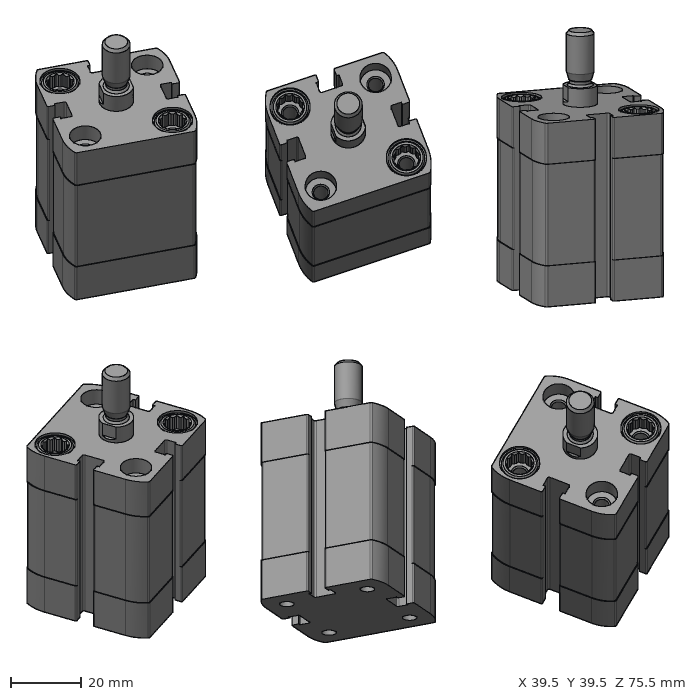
import cadquery as cq
import math


total_height = 75.5
housing_width = 39.5
housing_height = 54.0
cap_height = 12.1
tube_inset = 0.2

hole_offset = 13.0
corner_radius = 25.0 / 2
corner_blend = 0.75

slot_mouth_width = 5.4
slot_mouth_radius = 0.4
slot_lip = 2.35
slot_width = 6.95
slot_depth = 5.75
slot_floor_radius = 0.5

through_diameter = 4.15
through_chamfer_diameter = 5.0
counterbore_diameter = 9.0
counterbore_depth = 5.0

recess_diameter = 11.5
recess_depth = 0.75
head_drop = 0.2
head_diameter = 10.5
head_top_diameter = 9.5
socket_mouth_diameter = 8.15
socket_point_diameter = 7.85
socket_land_diameter = 7.1
socket_land_width = 0.7
socket_points = 12

collar_diameter = 10.0
collar_top = 59.4
flat_width = 9.0
flat_bottom = 55.35
thread_diameter = 8.0
thread_bottom = 63.4
tip_diameter = 6.5
tip_chamfer_height = 0.9
neck_diameter = 6.2
neck_top = 60.9
runout_end_diameter = 6.65
neck_foot_diameter = 7.5


def disc(diameter, bottom, top):
    return cq.Workplane("XY").workplane(offset=bottom).circle(diameter / 2).extrude(top - bottom)


def cone(bottom_diameter, top_diameter, bottom, top):
    height = top - bottom
    solid = cq.Solid.makeCone(bottom_diameter / 2, top_diameter / 2, height, cq.Vector(0, 0, bottom))
    return cq.Workplane(obj=solid)


def section_blank(half, bottom, top):
    """Solid stretch of housing whose corners are arcs tangent to its front and back faces."""
    radius = corner_radius - (housing_width / 2 - half)
    center_y = half - radius
    side_y = center_y + math.sqrt(radius**2 - (half - hole_offset) ** 2)
    middle_angle = (math.pi / 2 + math.asin((side_y - center_y) / radius)) / 2
    middle_x = hole_offset + radius * math.cos(middle_angle)
    middle_y = center_y + radius * math.sin(middle_angle)
    return (
        cq.Workplane("XY").workplane(offset=bottom)
        .moveTo(-hole_offset, half)
        .lineTo(hole_offset, half)
        .threePointArc((middle_x, middle_y), (half, side_y))
        .lineTo(half, -side_y)
        .threePointArc((middle_x, -middle_y), (hole_offset, -half))
        .lineTo(-hole_offset, -half)
        .threePointArc((-middle_x, -middle_y), (-half, -side_y))
        .lineTo(-half, side_y)
        .threePointArc((-middle_x, middle_y), (-hole_offset, half))
        .close()
        .extrude(top - bottom)
        .edges("|Z").edges("<X or >X").fillet(corner_blend)
    )


def slot_cutter(half, bottom, top):
    """T-slot opening toward +Y, with a rounded mouth at the face y = half."""
    height = top - bottom
    lip_y = housing_width / 2 - slot_lip
    floor_y = housing_width / 2 - slot_depth
    mouth_x = slot_mouth_width / 2
    flare_x = mouth_x + slot_mouth_radius
    round_y = half - slot_mouth_radius
    bulge = slot_mouth_radius * math.sqrt(0.5)
    plane = cq.Workplane("XY").workplane(offset=bottom)
    mouth = (
        plane.moveTo(-mouth_x, floor_y)
        .lineTo(mouth_x, floor_y)
        .lineTo(mouth_x, round_y)
        .threePointArc((flare_x - bulge, round_y + bulge), (flare_x, half))
        .lineTo(-flare_x, half)
        .threePointArc((bulge - flare_x, round_y + bulge), (-mouth_x, round_y))
        .close()
        .extrude(height)
    )
    cavity = (
        plane.center(0, (lip_y + floor_y) / 2)
        .rect(slot_width, lip_y - floor_y)
        .extrude(height)
        .edges("|Z and <Y").fillet(slot_floor_radius)
    )
    return cavity.union(mouth)


def housing_section(half, bottom, top):
    section = section_blank(half, bottom, top)
    for angle in (0, 90, 180):
        section = section.cut(slot_cutter(half, bottom, top).rotate((0, 0, 0), (0, 0, 1), angle))
    return section


def through_hole():
    """Through hole with its chamfer at the counterbore floor."""
    floor_z = housing_height - counterbore_depth
    chamfer = (through_chamfer_diameter - through_diameter) / 2
    hole = disc(through_diameter, 0, floor_z)
    return hole.union(cone(through_diameter, through_chamfer_diameter, floor_z - chamfer, floor_z))


def plain_hole():
    bore = disc(counterbore_diameter, housing_height - counterbore_depth, housing_height)
    return through_hole().union(bore)


def polar(diameter, angle):
    return diameter / 2 * math.cos(angle), diameter / 2 * math.sin(angle)


def twelve_point_socket(bottom, top):
    """Prism with V grooves pointing along the axes and every 30 degrees between them."""
    pitch = 2 * math.pi / socket_points
    half_land = math.asin(socket_land_width / socket_land_diameter)
    outline = []
    for index in range(socket_points):
        groove_angle = index * pitch
        land_angle = groove_angle + pitch / 2
        outline.append(polar(socket_point_diameter, groove_angle))
        outline.append(polar(socket_land_diameter, land_angle - half_land))
        outline.append(polar(socket_land_diameter, land_angle + half_land))
    return cq.Workplane("XY").workplane(offset=bottom).polyline(outline).close().extrude(top - bottom)


def screw_hole():
    """Material removed around and inside a sunken twelve-point socket head."""
    head_top = housing_height - head_drop
    recess_floor = housing_height - recess_depth
    mouth_depth = (socket_mouth_diameter - through_chamfer_diameter) / 2
    head = cone(head_diameter, head_top_diameter, recess_floor, head_top)
    recess = disc(recess_diameter, recess_floor, housing_height).cut(head)
    socket = twelve_point_socket(housing_height - counterbore_depth, head_top)
    mouth = cone(through_chamfer_diameter, socket_mouth_diameter, head_top - mouth_depth, head_top)
    return recess.union(socket).union(mouth).union(through_hole())


def make_housing():
    cap_half = housing_width / 2
    tube_top = housing_height - cap_height
    body = housing_section(cap_half, 0, cap_height)
    body = body.union(housing_section(cap_half - tube_inset, cap_height, tube_top))
    body = body.union(housing_section(cap_half, tube_top, housing_height))
    for side in (-1, 1):
        body = body.cut(plain_hole().translate((side * hole_offset, -side * hole_offset, 0)))
        body = body.cut(screw_hole().translate((side * hole_offset, side * hole_offset, 0)))
    return body


def wrench_flat():
    """Cutter for the flat facing -Y; its lower end runs out at 45 degrees."""
    flat_y = -flat_width / 2
    reach = collar_diameter / 2
    return (
        cq.Workplane("YZ")
        .moveTo(flat_y, collar_top)
        .lineTo(flat_y, flat_bottom)
        .lineTo(flat_y - reach, flat_bottom - reach)
        .lineTo(flat_y - reach, collar_top)
        .close()
        .extrude(collar_diameter / 2, both=True)
    )


def make_piston_rod():
    thread_top = total_height - tip_chamfer_height
    foot_top = collar_top + (neck_foot_diameter - neck_diameter) / 2
    runout_bottom = neck_top + (runout_end_diameter - neck_diameter) / 2
    collar = disc(collar_diameter, housing_height, collar_top)
    for angle in (0, 180):
        collar = collar.cut(wrench_flat().rotate((0, 0, 0), (0, 0, 1), angle))
    foot = cone(neck_foot_diameter, neck_diameter, collar_top, foot_top)
    neck = disc(neck_diameter, foot_top, neck_top)
    shoulder = cone(neck_diameter, runout_end_diameter, neck_top, runout_bottom)
    runout = cone(runout_end_diameter, thread_diameter, runout_bottom, thread_bottom)
    thread = disc(thread_diameter, thread_bottom, thread_top)
    tip = cone(thread_diameter, tip_diameter, thread_top, total_height)
    return collar.union(foot).union(neck).union(shoulder).union(runout).union(thread).union(tip)


housing = make_housing()
piston_rod = make_piston_rod()

result = cq.Compound.makeCompound([housing.val(), piston_rod.val()])